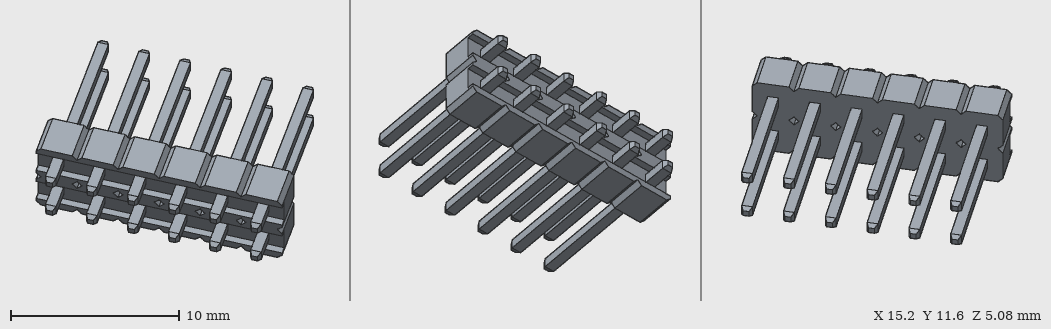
import cadquery as cq

PITCH = 2.54
COLUMNS = 6
ROWS = 2

BODY_DEPTH = 2.5
CELL_CHAMFER = 0.3
GROOVE_HEIGHT = 1.54
GROOVE_DEPTH = 0.44

PIN_WIDTH = 0.66
TIP_WIDTH = 0.36
TIP_LENGTH = 0.31
FRONT_PIN_LENGTH = 1.5
PIN_LENGTH = 11.6

BODY_LENGTH = COLUMNS * PITCH
CELL_CENTERS_X = [(i - (COLUMNS - 1) / 2) * PITCH for i in range(COLUMNS)]
ROW_CENTERS_Z = [(j - (ROWS - 1) / 2) * PITCH for j in range(ROWS)]


def make_cell(x, z):
    """One square body cell with its four long edges chamfered."""
    cell = cq.Workplane("XY").box(PITCH, BODY_DEPTH, PITCH).edges("|Y").chamfer(CELL_CHAMFER)
    return cell.translate((x, BODY_DEPTH / 2, z))


def make_groove(z):
    """Full-length cutter for the groove in the front face of one row."""
    groove = cq.Workplane("XY").box(BODY_LENGTH, GROOVE_DEPTH, GROOVE_HEIGHT)
    return groove.translate((0, GROOVE_DEPTH / 2, z))


def make_tip(direction):
    """Tapered pin end that starts at Y = 0 and narrows along +Y or -Y."""
    return (
        cq.Workplane("XZ")
        .rect(PIN_WIDTH, PIN_WIDTH)
        .workplane(offset=-direction * TIP_LENGTH)
        .rect(TIP_WIDTH, TIP_WIDTH)
        .loft(ruled=True)
    )


def make_pin(x, z):
    """One square pin through the body, tapered at both ends."""
    shank_length = PIN_LENGTH - 2 * TIP_LENGTH
    shank_start = TIP_LENGTH - FRONT_PIN_LENGTH
    shank_end = shank_start + shank_length
    shank = cq.Workplane("XY").box(PIN_WIDTH, shank_length, PIN_WIDTH)
    pin = shank.translate((0, (shank_start + shank_end) / 2, 0))
    pin = pin.union(make_tip(-1).translate((0, shank_start, 0)))
    pin = pin.union(make_tip(1).translate((0, shank_end, 0)))
    return pin.translate((x, 0, z))


positions = [(x, z) for z in ROW_CENTERS_Z for x in CELL_CENTERS_X]

result = cq.Workplane("XY")
for x, z in positions:
    result = result.union(make_cell(x, z))
for z in ROW_CENTERS_Z:
    result = result.cut(make_groove(z))
for x, z in positions:
    result = result.union(make_pin(x, z))
result = result.clean()